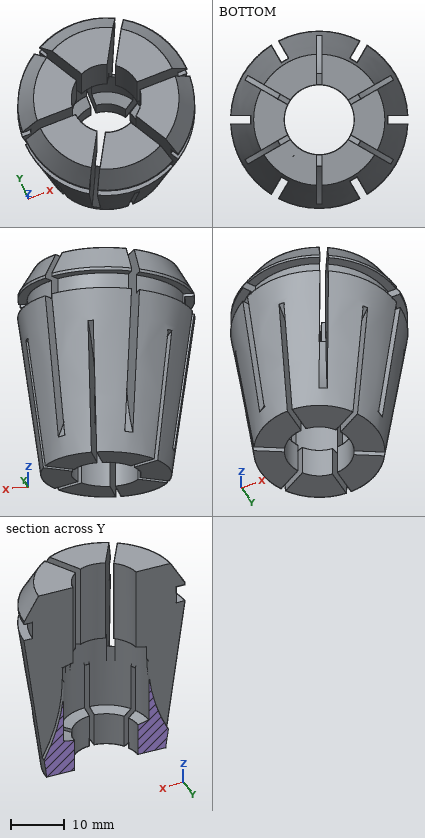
import cadquery as cq
import math

height = 40.0

body_bottom_radius = 12.2
body_top_radius = 33.0 / 2
body_top = 30.95

groove_radius = 14.7
head_bottom = 34.5
head_rim_top = 35.1
head_radius = 16.45
head_top_radius = 13.5

bore_radius = 6.5
relief_radius = 8.65
relief_bottom = 7.2
relief_top = 22.8
relief_cone_height = 0.55

slots_per_end = 6
slot_pitch = 360 / slots_per_end
slot_reach = 20.0

top_slot_width = 1.55
top_slot_depth_z = 20.2
top_saw_radius = 34.0
top_saw_center = (relief_radius + top_saw_radius, top_slot_depth_z)

bottom_slot_width = 1.0
bottom_slot_depth_z = 16.6
bottom_saw_radius = 19.5
bottom_saw_center_z = 8.6
bottom_saw_rise = bottom_slot_depth_z - bottom_saw_center_z
bottom_saw_center = (
    relief_radius + math.sqrt(bottom_saw_radius**2 - bottom_saw_rise**2),
    bottom_saw_center_z,
)


def revolve(outline):
    """Turn a closed (radius, z) outline around the Z axis."""
    return cq.Workplane("XZ").polyline(outline).close().revolve(360, (0, 0), (0, 1))


def slot_cutter(width, z_low, z_high, saw_center, saw_radius):
    """One slot along +X: a full-depth slab plus the round run-out of the saw."""
    slab = (
        cq.Workplane("XY")
        .box(slot_reach, width, z_high - z_low, centered=(False, True, False))
        .translate((0, 0, z_low))
    )
    saw = (
        cq.Workplane("XZ")
        .center(*saw_center)
        .circle(saw_radius)
        .extrude(width / 2, both=True)
    )
    return slab.union(saw)


def cut_slots(part, cutter, first_angle):
    """Cut the slot at equal steps around the Z axis."""
    for index in range(slots_per_end):
        angle = first_angle + index * slot_pitch
        part = part.cut(cutter.rotate((0, 0, 0), (0, 0, 1), angle))
    return part


outside = revolve([
    (0, 0),
    (body_bottom_radius, 0),
    (body_top_radius, body_top),
    (groove_radius, body_top),
    (groove_radius, head_bottom),
    (head_radius, head_bottom),
    (head_radius, head_rim_top),
    (head_top_radius, height),
    (0, height),
])

inside = revolve([
    (0, 0),
    (bore_radius, 0),
    (bore_radius, relief_bottom - relief_cone_height),
    (relief_radius, relief_bottom),
    (relief_radius, relief_top),
    (bore_radius, relief_top + relief_cone_height),
    (bore_radius, height),
    (0, height),
])

top_slot = slot_cutter(top_slot_width, top_slot_depth_z, height, top_saw_center, top_saw_radius)
bottom_slot = slot_cutter(
    bottom_slot_width, 0, bottom_slot_depth_z, bottom_saw_center, bottom_saw_radius
)

collet = outside.cut(inside)
collet = cut_slots(collet, top_slot, 0)
collet = cut_slots(collet, bottom_slot, slot_pitch / 2)

result = collet